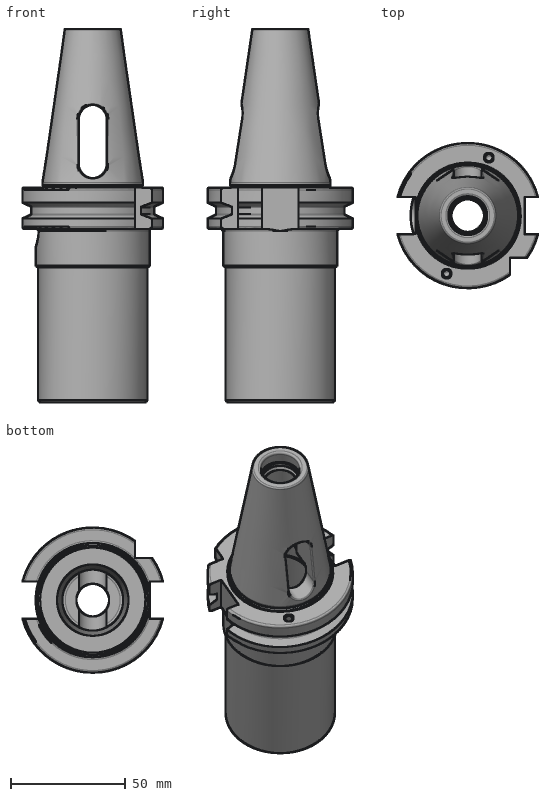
import cadquery as cq
import math


TAPER_RATIO = 7 / 24
GAUGE_DIAMETER = 44.45
SHANK_TOP = 68.4
SHANK_EDGE_RADIUS = 0.6
CONE_BASE = 1.2
RELIEF_TOP = 0.2
RELIEF_BOTTOM = -0.6
RELIEF_RADIUS = 21.6
RELIEF_FILLET = 0.8
RELIEF_OUTER_RADIUS = 23.2

FLANGE_RADIUS = 63.55 / 2
FLANGE_TOP = -1.0
FLANGE_BOTTOM = -19.1
FLANGE_EDGE_RADIUS = 1.0
GROOVE_CENTRE = -11.1
GROOVE_RADIUS = 56.25 / 2
GROOVE_FLOOR_WIDTH = 3.4
GROOVE_FILLET = 0.5
GROOVE_FLANK_ANGLE = 26

COLLAR_RADIUS = 25.0
COLLAR_FILLET = 1.0
COLLAR_BOTTOM = -36.0
BODY_RADIUS = 24.0
BODY_BOTTOM = -95.0
BODY_CHAMFER = 1.0

DRIVE_SLOT_WIDTH = 16.1
DEEP_SLOT_X = -22.8
SHALLOW_SLOT_X = 25.0
NOTCH_OFFSET = 18.5

DRIFT_WIDTH = 12.2
DRIFT_LENGTH = 32.0
DRIFT_BOTTOM = 3.1
DRIFT_TOP = DRIFT_BOTTOM + DRIFT_LENGTH
DRIFT_EDGE_RADIUS = 0.5

MOUTH_RADIUS = 9.6
COUNTERBORE_RADIUS = 8.5
COUNTERBORE_DEPTH = 6.0
RECESS_RADIUS = 8.1
RECESS_DEPTH = 8.2
THREAD_BORE_RADIUS = 7.1
THREAD_BORE_DEPTH = 9.8

SOCKET_MOUTH_DIAMETER = 31.267
SOCKET_TAPER_RATIO = 1 / 19.254
SOCKET_TAPER_TOP = -5.6
SOCKET_END_RADIUS = 14.0
SOCKET_TOP = 12.3
SOCKET_FILLET = 2.0

COOLANT_PITCH_RADIUS = 27.0
COOLANT_ANGLES = (70, 250)
COOLANT_RADIUS = 1.6
COOLANT_MOUTH_RADIUS = 2.1
COOLANT_DEPTH = 6.0
DRILL_TIP_ANGLE = 59


def cone_radius(z):
    """Radius of the shank cone at height z."""
    return (GAUGE_DIAMETER - TAPER_RATIO * z) / 2


def point_on_circle(centre, radius, angle):
    """Point on a circle at an angle in degrees, used as the middle of a rounded corner."""
    return (
        centre[0] + radius * math.cos(math.radians(angle)),
        centre[1] + radius * math.sin(math.radians(angle)),
    )


def revolve_about_z(profile):
    return profile.close().revolve(360, (0, 0, 0), (0, 1, 0))


def outer_body():
    edge = FLANGE_EDGE_RADIUS
    rim = FLANGE_RADIUS - edge
    half_floor = GROOVE_FLOOR_WIDTH / 2
    flank = (FLANGE_RADIUS - GROOVE_RADIUS) * math.tan(math.radians(GROOVE_FLANK_ANGLE))
    half_mouth = half_floor + flank
    relief_centre = (RELIEF_RADIUS + RELIEF_FILLET, RELIEF_BOTTOM)
    collar_centre = (COLLAR_RADIUS + COLLAR_FILLET, FLANGE_BOTTOM - COLLAR_FILLET)
    shoulder = COLLAR_RADIUS - BODY_RADIUS
    top_radius = cone_radius(SHANK_TOP)
    top_centre = (top_radius - SHANK_EDGE_RADIUS, SHANK_TOP - SHANK_EDGE_RADIUS)

    profile = (
        cq.Workplane("YZ")
        .moveTo(0, SHANK_TOP)
        .lineTo(top_centre[0], SHANK_TOP)
        .threePointArc(
            point_on_circle(top_centre, SHANK_EDGE_RADIUS, 45),
            (cone_radius(top_centre[1]), top_centre[1]),
        )
        .lineTo(cone_radius(CONE_BASE), CONE_BASE)
        .lineTo(cone_radius(CONE_BASE), RELIEF_TOP)
        .lineTo(RELIEF_RADIUS, RELIEF_BOTTOM)
        .threePointArc(
            point_on_circle(relief_centre, RELIEF_FILLET, 225),
            (relief_centre[0], RELIEF_BOTTOM - RELIEF_FILLET),
        )
        .lineTo(RELIEF_OUTER_RADIUS, FLANGE_TOP)
        .lineTo(rim, FLANGE_TOP)
        .threePointArc(
            point_on_circle((rim, FLANGE_TOP - edge), edge, 45),
            (FLANGE_RADIUS, FLANGE_TOP - edge),
        )
        .lineTo(FLANGE_RADIUS, GROOVE_CENTRE + half_mouth)
        .lineTo(GROOVE_RADIUS, GROOVE_CENTRE + half_floor)
        .lineTo(GROOVE_RADIUS, GROOVE_CENTRE - half_floor)
        .lineTo(FLANGE_RADIUS, GROOVE_CENTRE - half_mouth)
        .lineTo(FLANGE_RADIUS, FLANGE_BOTTOM + edge)
        .threePointArc(
            point_on_circle((rim, FLANGE_BOTTOM + edge), edge, -45),
            (rim, FLANGE_BOTTOM),
        )
        .lineTo(collar_centre[0], FLANGE_BOTTOM)
        .threePointArc(
            point_on_circle(collar_centre, COLLAR_FILLET, 135),
            (COLLAR_RADIUS, collar_centre[1]),
        )
        .lineTo(COLLAR_RADIUS, COLLAR_BOTTOM + shoulder)
        .lineTo(BODY_RADIUS, COLLAR_BOTTOM)
        .lineTo(BODY_RADIUS, BODY_BOTTOM + BODY_CHAMFER)
        .lineTo(BODY_RADIUS - BODY_CHAMFER, BODY_BOTTOM)
        .lineTo(0, BODY_BOTTOM)
    )
    groove_reach = GROOVE_RADIUS + GROOVE_FILLET
    groove_floor = cq.selectors.BoxSelector(
        (-groove_reach, -groove_reach, GROOVE_CENTRE - half_mouth),
        (groove_reach, groove_reach, GROOVE_CENTRE + half_mouth),
        boundingbox=True,
    )
    body = revolve_about_z(profile)
    return body.edges("%CIRCLE").edges(groove_floor).fillet(GROOVE_FILLET)


def axial_bore():
    """Counterbored thread bore from the top, Morse taper socket from the bottom."""
    mouth_round = MOUTH_RADIUS - COUNTERBORE_RADIUS
    mouth_centre = (MOUTH_RADIUS, SHANK_TOP - mouth_round)
    counterbore_floor = SHANK_TOP - COUNTERBORE_DEPTH
    recess_top = counterbore_floor - (COUNTERBORE_RADIUS - RECESS_RADIUS)
    recess_floor = SHANK_TOP - RECESS_DEPTH
    thread_top = SHANK_TOP - THREAD_BORE_DEPTH
    taper_length = SOCKET_TAPER_TOP - BODY_BOTTOM
    taper_top_radius = (SOCKET_MOUTH_DIAMETER - SOCKET_TAPER_RATIO * taper_length) / 2
    socket_centre = (SOCKET_END_RADIUS - SOCKET_FILLET, SOCKET_TOP - SOCKET_FILLET)

    profile = (
        cq.Workplane("YZ")
        .moveTo(0, SHANK_TOP)
        .lineTo(MOUTH_RADIUS, SHANK_TOP)
        .threePointArc(
            point_on_circle(mouth_centre, mouth_round, 135),
            (COUNTERBORE_RADIUS, mouth_centre[1]),
        )
        .lineTo(COUNTERBORE_RADIUS, counterbore_floor)
        .lineTo(RECESS_RADIUS, recess_top)
        .lineTo(RECESS_RADIUS, recess_floor)
        .lineTo(THREAD_BORE_RADIUS, thread_top)
        .lineTo(THREAD_BORE_RADIUS, SOCKET_TOP)
        .lineTo(socket_centre[0], SOCKET_TOP)
        .threePointArc(
            point_on_circle(socket_centre, SOCKET_FILLET, 45),
            (SOCKET_END_RADIUS, socket_centre[1]),
        )
        .lineTo(SOCKET_END_RADIUS, SOCKET_TAPER_TOP)
        .lineTo(taper_top_radius, SOCKET_TAPER_TOP)
        .lineTo(SOCKET_MOUTH_DIAMETER / 2, BODY_BOTTOM)
        .lineTo(0, BODY_BOTTOM)
    )
    return revolve_about_z(profile)


def cut_drift_slot(body):
    """Cut the round-ended slot through the cone along Y and round its outer edges."""
    slot = (
        cq.Workplane("XZ")
        .center(0, (DRIFT_TOP + DRIFT_BOTTOM) / 2)
        .slot2D(DRIFT_LENGTH, DRIFT_WIDTH, 90)
        .extrude(GAUGE_DIAMETER, both=True)
    )
    half_width = DRIFT_WIDTH / 2
    top_radius = cone_radius(DRIFT_TOP)
    inner_y = math.sqrt(top_radius**2 - half_width**2) - DRIFT_EDGE_RADIUS
    margin = DRIFT_EDGE_RADIUS
    mouths = (
        cq.selectors.BoxSelector(
            (-half_width - margin, side * inner_y, DRIFT_BOTTOM - margin),
            (half_width + margin, side * GAUGE_DIAMETER, DRIFT_TOP + margin),
            boundingbox=True,
        )
        for side in (1, -1)
    )
    rims = cq.selectors.SumSelector(*mouths)
    return body.cut(slot).edges(rims).fillet(DRIFT_EDGE_RADIUS)


def flange_box(x_start, x_end, y_start, y_end):
    """Block spanning exactly the thickness of the flange."""
    return (
        cq.Workplane("XY", origin=(0, 0, FLANGE_BOTTOM))
        .moveTo(x_start, y_start)
        .lineTo(x_end, y_start)
        .lineTo(x_end, y_end)
        .lineTo(x_start, y_end)
        .close()
        .extrude(FLANGE_TOP - FLANGE_BOTTOM)
    )


def deep_drive_slot():
    """Slot on the -X side whose round end runs down into the collar."""
    half_width = DRIVE_SLOT_WIDTH / 2
    length = FLANGE_RADIUS + DEEP_SLOT_X
    upper = flange_box(-FLANGE_RADIUS, DEEP_SLOT_X, -half_width, half_width)
    round_end = (
        cq.Workplane("YZ", origin=(-FLANGE_RADIUS, 0, FLANGE_BOTTOM))
        .circle(half_width)
        .extrude(length)
    )
    return upper.union(round_end)


def shallow_drive_slot():
    """Slot on the +X side, cut down through the flange and the fillet under it."""
    half_width = DRIVE_SLOT_WIDTH / 2
    flange_part = flange_box(SHALLOW_SLOT_X, FLANGE_RADIUS, -half_width, half_width)
    return flange_part.union(flange_part.translate((0, 0, -COLLAR_FILLET)))


def orientation_notch():
    return flange_box(NOTCH_OFFSET, FLANGE_RADIUS, -FLANGE_RADIUS, -NOTCH_OFFSET)


def coolant_hole(angle):
    chamfer = COOLANT_MOUTH_RADIUS - COOLANT_RADIUS
    tip_height = COOLANT_RADIUS / math.tan(math.radians(DRILL_TIP_ANGLE))
    profile = (
        cq.Workplane("YZ")
        .moveTo(0, 0)
        .lineTo(COOLANT_MOUTH_RADIUS, 0)
        .lineTo(COOLANT_RADIUS, -chamfer)
        .lineTo(COOLANT_RADIUS, -COOLANT_DEPTH)
        .lineTo(0, -COOLANT_DEPTH - tip_height)
    )
    hole = revolve_about_z(profile).translate((COOLANT_PITCH_RADIUS, 0, FLANGE_TOP))
    return hole.rotate((0, 0, 0), (0, 0, 1), angle)


result = (
    cut_drift_slot(outer_body())
    .cut(axial_bore())
    .cut(deep_drive_slot())
    .cut(shallow_drive_slot())
    .cut(orientation_notch())
)
for hole_angle in COOLANT_ANGLES:
    result = result.cut(coolant_hole(hole_angle))